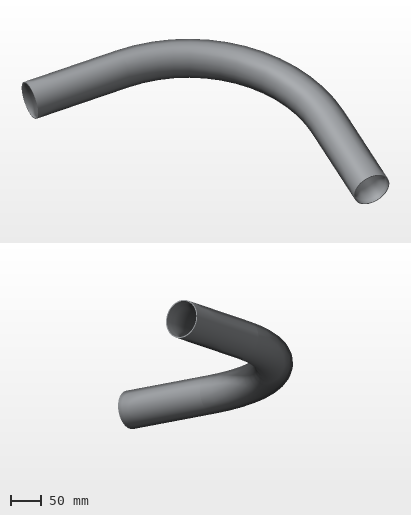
import cadquery as cq

OUTER_DIAMETER = 63.0
WALL_THICKNESS = 1.8
BEND_RADIUS = 250.0
BEND_ANGLE = 90.0
STRAIGHT_LENGTH = 165.0

INNER_DIAMETER = OUTER_DIAMETER - 2 * WALL_THICKNESS


def tube_section():
    """Ring-shaped tube section in the YZ plane, centred on the origin."""
    return cq.Workplane("YZ").circle(OUTER_DIAMETER / 2).circle(INNER_DIAMETER / 2)


def make_leg():
    """Straight tube along +X, starting at the origin."""
    return tube_section().extrude(STRAIGHT_LENGTH)


def make_bend():
    """Quarter-turn tube from the origin to (-BEND_RADIUS, -BEND_RADIUS), about a vertical axis."""
    axis_start = (-BEND_RADIUS, 0)
    axis_end = (-BEND_RADIUS, 1)
    return tube_section().revolve(BEND_ANGLE, axis_start, axis_end)


x_leg = make_leg()
y_leg = (
    make_leg()
    .rotate((0, 0, 0), (0, 0, 1), -BEND_ANGLE)
    .translate((-BEND_RADIUS, -BEND_RADIUS, 0))
)

result = x_leg.union(make_bend()).union(y_leg)